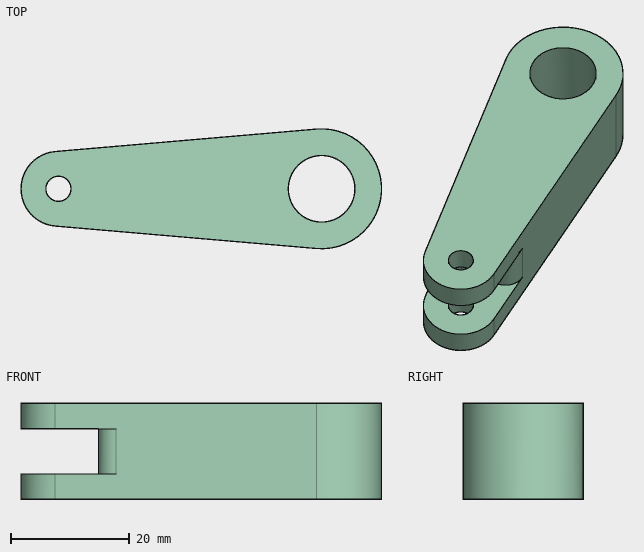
import cadquery as cq
import math

length = 60.9
width = 20.3
height = 16.25
big_radius = width / 2
small_radius = 6.35
big_bore = 11.2
small_bore = 4.2

cheek_thickness = 4.3
hollow_radius = 7.5
shoulder_radius = 3.2

small_x = small_radius
big_x = length - big_radius
center_distance = big_x - small_x

tangent_sin = (big_radius - small_radius) / center_distance
tangent_cos = math.sqrt(1 - tangent_sin**2)


def tangent_point(center_x, radius, side):
    """Point where a side meets an end circle; side is +1 or -1 along Y."""
    return (center_x - radius * tangent_sin, side * radius * tangent_cos)


def make_body():
    """Tapered arm with two round ends."""
    return (
        cq.Workplane("XY")
        .moveTo(*tangent_point(small_x, small_radius, -1))
        .lineTo(*tangent_point(big_x, big_radius, -1))
        .threePointArc((length, 0), tangent_point(big_x, big_radius, 1))
        .lineTo(*tangent_point(small_x, small_radius, 1))
        .threePointArc((0, 0), tangent_point(small_x, small_radius, -1))
        .close()
        .extrude(height)
    )


shoulder_reach = hollow_radius + shoulder_radius
shoulder_offset = small_radius - shoulder_radius
shoulder_angle = math.asin(shoulder_offset / shoulder_reach) + math.asin(tangent_sin)
shoulder_x = small_x + shoulder_reach * math.cos(shoulder_angle)
shoulder_y = shoulder_reach * math.sin(shoulder_angle)


def hollow_end(side):
    """Point where the hollow runs into a shoulder."""
    return (
        small_x + hollow_radius * math.cos(shoulder_angle),
        side * hollow_radius * math.sin(shoulder_angle),
    )


def shoulder_tip(side):
    """Point of a shoulder nearest the fork opening."""
    return (shoulder_x - shoulder_radius, side * shoulder_y)


def shoulder_end(side):
    """Point where a shoulder runs into the side face."""
    return (
        shoulder_x - shoulder_radius * tangent_sin,
        side * (shoulder_y + shoulder_radius * tangent_cos),
    )


def make_slot():
    """Cutter for the open space between the cheeks."""
    return (
        cq.Workplane("XY")
        .workplane(offset=cheek_thickness)
        .moveTo(0, -big_radius)
        .lineTo(shoulder_end(-1)[0], -big_radius)
        .lineTo(*shoulder_end(-1))
        .threePointArc(shoulder_tip(-1), hollow_end(-1))
        .threePointArc((small_x + hollow_radius, 0), hollow_end(1))
        .threePointArc(shoulder_tip(1), shoulder_end(1))
        .lineTo(shoulder_end(1)[0], big_radius)
        .lineTo(0, big_radius)
        .close()
        .extrude(height - 2 * cheek_thickness)
    )


def make_bore(center_x, diameter):
    """Vertical through-hole cutter on the X axis."""
    return cq.Workplane("XY").center(center_x, 0).circle(diameter / 2).extrude(height)


result = (
    make_body()
    .cut(make_slot())
    .cut(make_bore(small_x, small_bore))
    .cut(make_bore(big_x, big_bore))
)